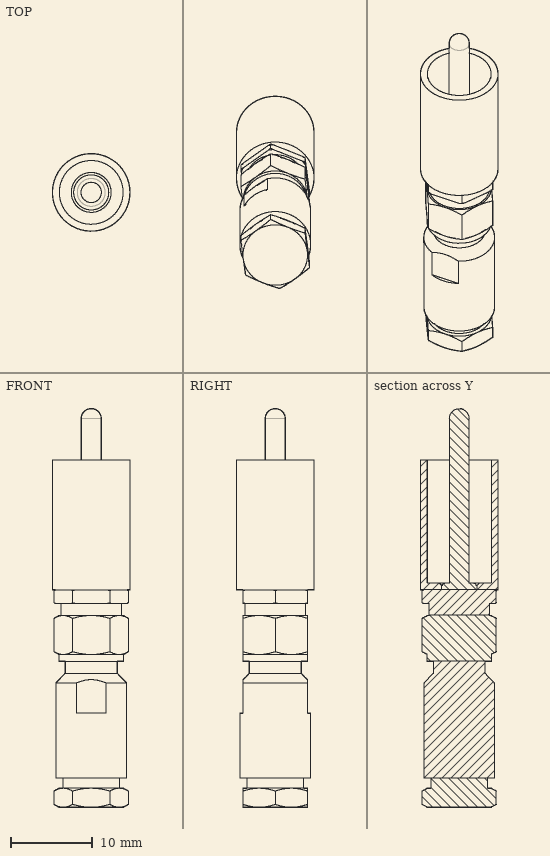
import cadquery as cq
import math

total_height = 48.65
gland_hex_height = 2.35
body_bottom = 3.55
flat_bottom = 11.5
shoulder_bottom = 15.2
shoulder_top = 16.35
nut_bottom = 17.8
nut_hex_bottom = 18.65
nut_top = 23.4
adapter_hex_bottom = 24.85
sleeve_bottom = 26.5
sleeve_top = 42.35

across_flats = 7.9
across_corners = across_flats / math.cos(math.radians(30))
hex_chamfer_angle = 30.0
nut_end_diameter = across_flats
adapter_end_diameter = 8.75

sleeve_diameter = 9.5
bore_diameter = 7.8
hole_diameter = 4.3
countersink_diameter = 4.85
pin_diameter = 2.5
adapter_neck_diameter = 7.45
body_diameter = 8.65
body_neck_diameter = 6.35
gland_neck_diameter = 6.9

sleeve_floor = (sleeve_diameter - bore_diameter) / 2
pin_fillet = 0.45


def cylinder(diameter, bottom, top):
    """Upright cylinder on the Z axis between two heights."""
    return cq.Workplane("XY").workplane(offset=bottom).circle(diameter / 2).extrude(top - bottom)


def chamfered_hexagon(bottom, top, end_diameter):
    """Hexagonal prism, two corners on the X axis, turned down to the end diameter at both ends."""
    prism = cq.Workplane("XY").workplane(offset=bottom).polygon(6, across_corners).extrude(top - bottom)
    end_radius = end_diameter / 2
    corner_radius = across_corners / 2
    drop = (corner_radius - end_radius) * math.tan(math.radians(hex_chamfer_angle))
    turned_blank = (
        cq.Workplane("XZ")
        .polyline([
            (0, bottom),
            (end_radius, bottom),
            (corner_radius, bottom + drop),
            (corner_radius, top - drop),
            (end_radius, top),
            (0, top),
        ])
        .close()
        .revolve(360, (0, 0, 0), (0, 1, 0))
    )
    return prism.intersect(turned_blank)


def make_sleeve():
    """Open cup with a countersunk hole through its floor."""
    floor_top = sleeve_bottom + sleeve_floor
    countersink_depth = (countersink_diameter - hole_diameter) / 2
    cup = cylinder(sleeve_diameter, sleeve_bottom, sleeve_top)
    cup = cup.cut(cylinder(bore_diameter, floor_top, sleeve_top))
    cup = cup.cut(cylinder(hole_diameter, sleeve_bottom, floor_top))
    countersink = (
        cq.Workplane("XY")
        .workplane(offset=floor_top - countersink_depth)
        .circle(hole_diameter / 2)
        .workplane(offset=countersink_depth)
        .circle(countersink_diameter / 2)
        .loft()
    )
    return cup.cut(countersink)


def make_pin():
    """Round-nosed contact pin on a filleted base that fills the hole in the sleeve floor."""
    nose_radius = pin_diameter / 2
    base = cylinder(hole_diameter, sleeve_bottom, sleeve_bottom + sleeve_floor)
    base = base.faces(">Z").edges().fillet(pin_fillet)
    shank = cylinder(pin_diameter, sleeve_bottom, total_height - nose_radius)
    nose = cq.Workplane("XY").sphere(nose_radius).translate((0, 0, total_height - nose_radius))
    return base.union(shank).union(nose)


def make_adapter():
    """Thin hexagon under the sleeve with a round neck below it."""
    hexagon = chamfered_hexagon(adapter_hex_bottom, sleeve_bottom, adapter_end_diameter)
    return hexagon.union(cylinder(adapter_neck_diameter, nut_top, adapter_hex_bottom))


def make_coupling_nut():
    """Hexagonal nut with a round collar at its lower end."""
    hexagon = chamfered_hexagon(nut_hex_bottom, nut_top, nut_end_diameter)
    return hexagon.union(cylinder(nut_end_diameter, nut_bottom, nut_hex_bottom))


def make_body():
    """Turned body with a tapered shoulder, an upper neck and two wrench flats."""
    turned = (
        cq.Workplane("XZ")
        .polyline([
            (0, body_bottom),
            (body_diameter / 2, body_bottom),
            (body_diameter / 2, shoulder_bottom),
            (body_neck_diameter / 2, shoulder_top),
            (body_neck_diameter / 2, nut_bottom),
            (0, nut_bottom),
        ])
        .close()
        .revolve(360, (0, 0, 0), (0, 1, 0))
    )
    between_flats = (
        cq.Workplane("XY")
        .workplane(offset=flat_bottom)
        .rect(body_diameter, across_flats)
        .extrude(nut_bottom - flat_bottom)
    )
    flat_waste = cylinder(body_diameter, flat_bottom, nut_bottom).cut(between_flats)
    return turned.cut(flat_waste)


def make_gland_nut():
    """Hexagonal gland nut with a round neck that meets the body."""
    hexagon = chamfered_hexagon(0, gland_hex_height, nut_end_diameter)
    return hexagon.union(cylinder(gland_neck_diameter, gland_hex_height, body_bottom))


sleeve = make_sleeve()
pin = make_pin()
adapter = make_adapter()
coupling_nut = make_coupling_nut()
body = make_body()
gland_nut = make_gland_nut()

result = cq.Compound.makeCompound([
    sleeve.val(),
    pin.val(),
    adapter.val(),
    coupling_nut.val(),
    body.val(),
    gland_nut.val(),
])